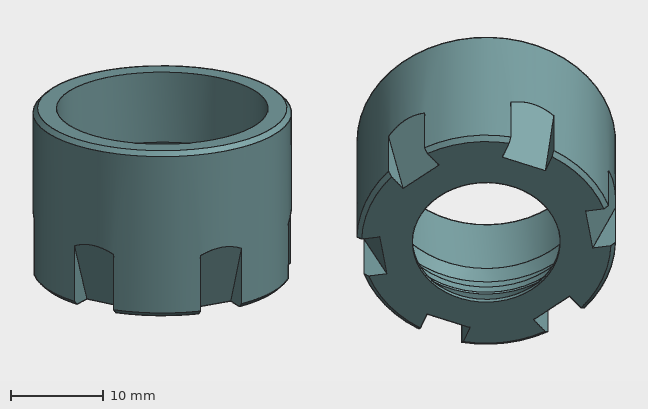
import cadquery as cq
import math

outer_diameter = 28.0
height = 19.0
edge_chamfer = 0.5

upper_bore_diameter = 22.9
groove_diameter = 24.3
seat_diameter = 21.3
bottom_opening_diameter = 16.0
upper_bore_bottom = 10.95
groove_flare_bottom = 9.45
groove_floor = 6.45
groove_fillet = 0.4
seat_bottom = 5.5
cone_top = 5.25
cone_undercut = 0.08
cone_half_angle = 30.0

slot_count = 6
slot_width = 4.98
slot_height = 7.5
slot_floor_angle = 20.0


def make_body():
    """Solid cylinder with both outer rims chamfered."""
    body = cq.Workplane("XY").circle(outer_diameter / 2).extrude(height)
    return body.faces("<Z or >Z").edges().chamfer(edge_chamfer)


def make_bore():
    """Revolved cavity: upper bore, relief groove, seat and conical mouth."""
    upper_radius = upper_bore_diameter / 2
    groove_radius = groove_diameter / 2
    seat_radius = seat_diameter / 2
    opening_radius = bottom_opening_diameter / 2
    cone_radius = seat_radius + cone_undercut
    cone_height = (cone_radius - opening_radius) / math.tan(math.radians(cone_half_angle))
    fillet_diagonal = groove_fillet * math.sqrt(0.5)
    fillet_center_radius = groove_radius - groove_fillet
    fillet_center_height = groove_floor + groove_fillet
    return (
        cq.Workplane("XZ")
        .moveTo(0, height)
        .lineTo(upper_radius, height)
        .lineTo(upper_radius, upper_bore_bottom)
        .lineTo(groove_radius, groove_flare_bottom)
        .lineTo(groove_radius, fillet_center_height)
        .threePointArc(
            (fillet_center_radius + fillet_diagonal, fillet_center_height - fillet_diagonal),
            (fillet_center_radius, groove_floor),
        )
        .lineTo(seat_radius, groove_floor)
        .lineTo(seat_radius, seat_bottom)
        .lineTo(cone_radius, cone_top)
        .lineTo(opening_radius, cone_top - cone_height)
        .lineTo(opening_radius, 0)
        .lineTo(0, 0)
        .close()
        .revolve(360, (0, 0, 0), (0, 1, 0))
    )


def make_slot():
    """Wedge on the -Y side, deepest at the bottom and running out at slot_height."""
    outer_radius = outer_diameter / 2
    bottom_depth = slot_height * math.tan(math.radians(slot_floor_angle))
    return (
        cq.Workplane("YZ")
        .moveTo(-outer_radius, 0)
        .lineTo(-outer_radius + bottom_depth, 0)
        .lineTo(-outer_radius, slot_height)
        .close()
        .extrude(slot_width / 2, both=True)
    )


result = make_body().cut(make_bore())
slot = make_slot()
for index in range(slot_count):
    slot_angle = index * 360 / slot_count
    result = result.cut(slot.rotate((0, 0, 0), (0, 0, 1), slot_angle))